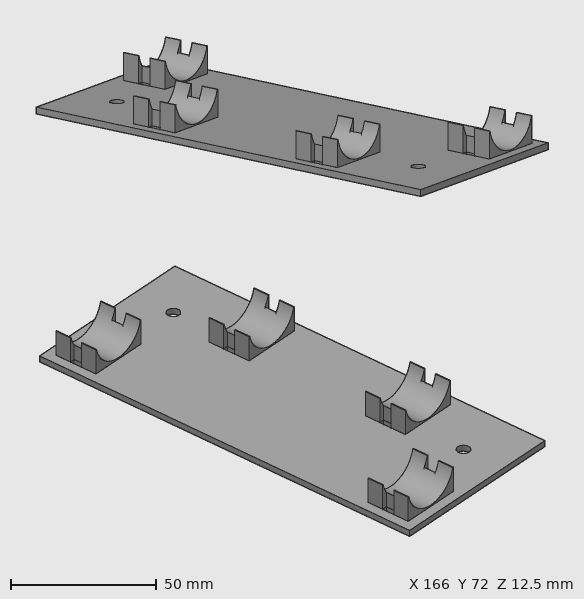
import cadquery as cq

plate_length = 166.0
plate_width = 72.0
plate_thickness = 2.5

screw_hole_diameter = 5.0
screw_hole_end_distance = 18.0
screw_hole_front_distance = 22.0

overall_height = 12.5
cradle_length = 18.0
cradle_width = 24.0
cradle_height = overall_height - plate_thickness
trough_radius = 12.0
trough_floor = 0.5
cradle_edge_gap = 4.0
front_cradle_spacing = 70.0

slot_length = 5.0
slot_depth = 2.0

back_cradle_x = plate_length / 2 - cradle_edge_gap - cradle_length / 2
front_cradle_x = front_cradle_spacing / 2
cradle_row_y = plate_width / 2 - cradle_edge_gap - cradle_width / 2
cradle_centers = [
    (-back_cradle_x, cradle_row_y),
    (back_cradle_x, cradle_row_y),
    (-front_cradle_x, -cradle_row_y),
    (front_cradle_x, -cradle_row_y),
]
slot_offset_y = (cradle_width - slot_depth) / 2
screw_hole_x = plate_length / 2 - screw_hole_end_distance
screw_hole_y = screw_hole_front_distance - plate_width / 2


def make_strap_slots(center):
    """Return the pair of cutters, full height, for the slots of the cradle at center."""
    x, y = center
    return (
        cq.Workplane("XY")
        .pushPoints([(x, y - slot_offset_y), (x, y + slot_offset_y)])
        .rect(slot_length, slot_depth)
        .extrude(overall_height)
    )


def make_plate():
    """Flat plate with two screw holes and the lower ends of all strap slots."""
    plate = (
        cq.Workplane("XY")
        .rect(plate_length, plate_width)
        .extrude(plate_thickness)
        .faces(">Z")
        .workplane()
        .pushPoints([(-screw_hole_x, screw_hole_y), (screw_hole_x, screw_hole_y)])
        .hole(screw_hole_diameter)
    )
    for center in cradle_centers:
        plate = plate.cut(make_strap_slots(center))
    return plate.solids()


def make_cradle(center):
    """Block standing on the plate, hollowed by a round trough and notched by its strap slots."""
    x, y = center
    block = (
        cq.Workplane("XY", origin=(x, y, plate_thickness))
        .rect(cradle_length, cradle_width)
        .extrude(cradle_height)
    )
    trough_axis_z = plate_thickness + trough_floor + trough_radius
    trough = (
        cq.Workplane("YZ", origin=(x, y, trough_axis_z))
        .circle(trough_radius)
        .extrude(cradle_length / 2, both=True)
    )
    return block.cut(trough).cut(make_strap_slots(center)).solids()


plate = make_plate()
cradles = [make_cradle(center) for center in cradle_centers]

result = cq.Compound.makeCompound([plate.val(), *[cradle.val() for cradle in cradles]])